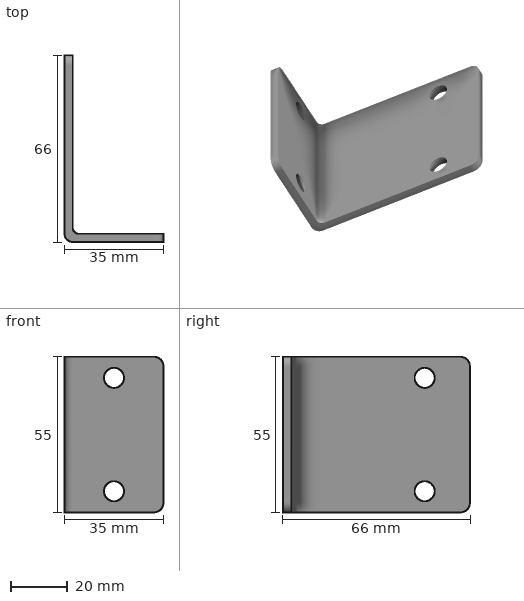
import cadquery as cq

WIDTH = 35.0
DEPTH = 66.0
HEIGHT = 55.0
THICKNESS = 3.0

OUTER_BEND_RADIUS = 3.0
INNER_BEND_RADIUS = 2.0
CORNER_RADIUS = 3.5

HOLE_DIAMETER = 7.0
HOLE_SPACING = 40.0
SHORT_LEG_HOLE_X = WIDTH / 2
LONG_LEG_HOLE_INSET = 16.0
LONG_LEG_HOLE_Y = DEPTH - LONG_LEG_HOLE_INSET
HOLE_HEIGHTS = [HEIGHT / 2 + side * HOLE_SPACING / 2 for side in (-1, 1)]


def make_angle():
    """L-shaped profile with its outer corner at the origin, with a rounded bend."""
    profile = [
        (0, 0),
        (WIDTH, 0),
        (WIDTH, THICKNESS),
        (THICKNESS, THICKNESS),
        (THICKNESS, DEPTH),
        (0, DEPTH),
    ]
    angle = cq.Workplane("XY").polyline(profile).close().extrude(HEIGHT)
    outer_corner = cq.selectors.NearestToPointSelector((0, 0, HEIGHT / 2))
    inner_corner = cq.selectors.NearestToPointSelector((THICKNESS, THICKNESS, HEIGHT / 2))
    angle = angle.edges(inner_corner).fillet(INNER_BEND_RADIUS)
    return angle.edges(outer_corner).fillet(OUTER_BEND_RADIUS)


def round_free_corners(angle):
    """Round the top and bottom corners at the free end of each leg."""
    angle = angle.faces(">X").edges("|Y").fillet(CORNER_RADIUS)
    return angle.faces(">Y").edges("|X").fillet(CORNER_RADIUS)


def make_hole(start, direction):
    """Cylinder that pierces one sheet thickness from its outer face."""
    cylinder = cq.Solid.makeCylinder(
        HOLE_DIAMETER / 2, THICKNESS, cq.Vector(*start), cq.Vector(*direction)
    )
    return cq.Workplane(obj=cylinder)


result = round_free_corners(make_angle())
for hole_z in HOLE_HEIGHTS:
    result = result.cut(make_hole((SHORT_LEG_HOLE_X, 0, hole_z), (0, 1, 0)))
    result = result.cut(make_hole((0, LONG_LEG_HOLE_Y, hole_z), (1, 0, 0)))